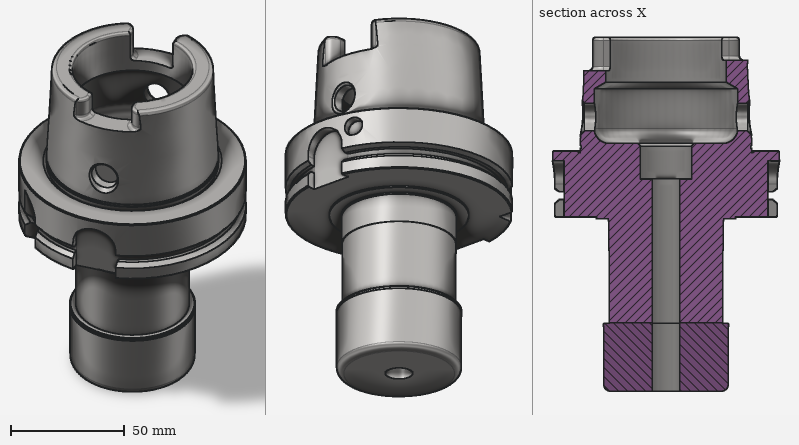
import cadquery as cq
import math


TOTAL_HEIGHT = 156.0
NUT_HEIGHT = 30.1
SHANK_STEP_Z = 62.1
FLANGE_BOTTOM_Z = 76.8
FLANGE_TOP_Z = 106.0
TAPER_BOTTOM_Z = 108.4

NUT_DIAMETER = 55.0
NUT_COLLAR_DIAMETER = 55.4
NUT_COLLAR_HEIGHT = 1.4
NUT_COLLAR_CHAMFER = 0.5
NUT_END_FILLET = 3.1
THROUGH_HOLE_DIAMETER = 12.0

SHANK_DIAMETER = 50.0
UPPER_SHANK_DIAMETER = 50.5
SHANK_COLLAR_DIAMETER = 51.0
SHANK_COLLAR_HEIGHT = 0.8
BOSS_DIAMETER = 61.5
BOSS_HEIGHT = 0.8

FLANGE_DIAMETER = 100.0
FLANGE_CHAMFER = 0.5
GROOVE_FLOOR_DIAMETER = 92.0
GROOVE_FLOOR_BOTTOM_Z = 84.5
GROOVE_FLOOR_TOP_Z = 87.8
GROOVE_BOTTOM_Z = 82.7
GROOVE_TOP_Z = 89.2
GROOVE_SHOULDER_DIAMETER = 96.0

TAPER_BOTTOM_DIAMETER = 75.8
TAPER_RATIO = 0.1
UNDERCUT_DEPTH = 0.5
UNDERCUT_HEIGHT = 1.0
FACE_RELIEF_DIAMETER = 78.6
FACE_RELIEF_DEPTH = 1.0
RIM_OUTER_FILLET = 2.0
RIM_INNER_FILLET = 1.4

MOUTH_DIAMETER = 53.0
MOUTH_BOTTOM_Z = 136.0
CAVITY_DIAMETER = 63.0
SHOULDER_ANGLE = 30.0
CAVITY_FLOOR_DIAMETER = 50.0
CAVITY_FILLET_TOP_Z = 115.8
COUNTERBORE_DIAMETER = 22.3
COUNTERBORE_MOUTH_DIAMETER = 25.0
COUNTERBORE_BOTTOM_Z = 93.6

RIM_SLOT_WIDTH = 20.0
RIM_SLOT_SHOULDER_Y = 32.3
RIM_SLOT_CORNER_RADIUS = 4.7
RIM_SLOT_FLOOR_FILLET = 1.9
FRONT_RIM_SLOT_Z = 145.9
BACK_RIM_SLOT_Z = 141.2

ACCESS_HOLE_DIAMETER = 12.0
ACCESS_HOLE_Z = 120.7
COUNTERSINK_DIAMETER = 14.8

FLANGE_SLOT_WIDTH = 20.0
FLANGE_SLOT_SPRING_Z = 91.4
KEY_SLOT_FLOOR_Y = 45.0
CORNER_SLOT_WALL = 31.4

CHIP_HOLE_DIAMETER = 8.5
CHIP_HOLE_DEPTH = 4.5
CHIP_HOLE_Z = 98.7
CHIP_HOLE_ANGLE = 108.0

FLANGE_RADIUS = FLANGE_DIAMETER / 2
TAPER_HEIGHT = TOTAL_HEIGHT - TAPER_BOTTOM_Z
RIM_DIAMETER = TAPER_BOTTOM_DIAMETER - TAPER_RATIO * TAPER_HEIGHT


def revolve(profile):
    """Turn a closed outline of (radius, z) points about the Z axis."""
    return cq.Workplane("XZ").polyline(profile).close().revolve(360, (0, 0, 0), (0, 1, 0))


def holder_blank():
    """Shank, grooved flange and taper as one turned solid."""
    shank_radius = SHANK_DIAMETER / 2
    upper_shank_radius = UPPER_SHANK_DIAMETER / 2
    shank_collar_radius = SHANK_COLLAR_DIAMETER / 2
    boss_radius = BOSS_DIAMETER / 2
    boss_bottom_z = FLANGE_BOTTOM_Z - BOSS_HEIGHT
    shank_collar_z = boss_bottom_z - SHANK_COLLAR_HEIGHT
    chamfer_radius = FLANGE_RADIUS - FLANGE_CHAMFER
    groove_radius = GROOVE_FLOOR_DIAMETER / 2
    shoulder_radius = GROOVE_SHOULDER_DIAMETER / 2
    taper_radius = TAPER_BOTTOM_DIAMETER / 2
    undercut_radius = taper_radius - UNDERCUT_DEPTH
    undercut_z = TAPER_BOTTOM_Z - UNDERCUT_DEPTH
    return revolve([
        (0, NUT_HEIGHT),
        (shank_radius, NUT_HEIGHT),
        (shank_radius, SHANK_STEP_Z),
        (upper_shank_radius, SHANK_STEP_Z),
        (upper_shank_radius, shank_collar_z),
        (shank_collar_radius, shank_collar_z),
        (shank_collar_radius, boss_bottom_z),
        (boss_radius, boss_bottom_z),
        (boss_radius, FLANGE_BOTTOM_Z),
        (chamfer_radius, FLANGE_BOTTOM_Z),
        (FLANGE_RADIUS, FLANGE_BOTTOM_Z + FLANGE_CHAMFER),
        (FLANGE_RADIUS, GROOVE_BOTTOM_Z),
        (shoulder_radius, GROOVE_FLOOR_BOTTOM_Z),
        (groove_radius, GROOVE_FLOOR_BOTTOM_Z),
        (groove_radius, GROOVE_FLOOR_TOP_Z),
        (shoulder_radius, GROOVE_FLOOR_TOP_Z),
        (FLANGE_RADIUS, GROOVE_TOP_Z),
        (FLANGE_RADIUS, FLANGE_TOP_Z - FLANGE_CHAMFER),
        (chamfer_radius, FLANGE_TOP_Z),
        (FACE_RELIEF_DIAMETER / 2, FLANGE_TOP_Z),
        (taper_radius, FLANGE_TOP_Z - FACE_RELIEF_DEPTH),
        (taper_radius, undercut_z - UNDERCUT_HEIGHT),
        (undercut_radius, undercut_z - UNDERCUT_HEIGHT),
        (undercut_radius, undercut_z),
        (taper_radius, TAPER_BOTTOM_Z),
        (RIM_DIAMETER / 2, TOTAL_HEIGHT),
        (0, TOTAL_HEIGHT),
    ])


def stepped_bore():
    """Undercut cavity in the taper, the counterbore in its floor and the hole through the shank."""
    mouth_radius = MOUTH_DIAMETER / 2
    cavity_radius = CAVITY_DIAMETER / 2
    shoulder_drop = (cavity_radius - mouth_radius) * math.tan(math.radians(SHOULDER_ANGLE))
    fillet_radius = (CAVITY_DIAMETER - CAVITY_FLOOR_DIAMETER) / 2
    floor_z = CAVITY_FILLET_TOP_Z - fillet_radius
    fillet_reach = fillet_radius * (1 - math.sin(math.pi / 4))
    counterbore_radius = COUNTERBORE_DIAMETER / 2
    counterbore_mouth_radius = COUNTERBORE_MOUTH_DIAMETER / 2
    bevel = counterbore_mouth_radius - counterbore_radius
    hole_radius = THROUGH_HOLE_DIAMETER / 2
    return (
        cq.Workplane("XZ")
        .moveTo(0, NUT_HEIGHT)
        .lineTo(hole_radius, NUT_HEIGHT)
        .lineTo(hole_radius, COUNTERBORE_BOTTOM_Z)
        .lineTo(counterbore_radius, COUNTERBORE_BOTTOM_Z)
        .lineTo(counterbore_radius, floor_z - bevel)
        .lineTo(counterbore_mouth_radius, floor_z)
        .lineTo(CAVITY_FLOOR_DIAMETER / 2, floor_z)
        .threePointArc(
            (cavity_radius - fillet_reach, floor_z + fillet_reach),
            (cavity_radius, CAVITY_FILLET_TOP_Z),
        )
        .lineTo(cavity_radius, MOUTH_BOTTOM_Z - shoulder_drop)
        .lineTo(mouth_radius, MOUTH_BOTTOM_Z)
        .lineTo(mouth_radius, TOTAL_HEIGHT)
        .lineTo(0, TOTAL_HEIGHT)
        .close()
        .revolve(360, (0, 0, 0), (0, 1, 0))
    )


def rim_slot(floor_z):
    """Cutter for the +Y driving slot: it widens to a shoulder past rounded wall corners."""
    half_width = RIM_SLOT_WIDTH / 2
    radius = RIM_SLOT_CORNER_RADIUS
    shoulder_y = RIM_SLOT_SHOULDER_Y
    straight_end_y = shoulder_y - radius
    inner_y = straight_end_y / 2
    outer_y = FLANGE_RADIUS
    mid_x = half_width + radius * (1 - math.cos(math.pi / 4))
    mid_y = straight_end_y + radius * math.sin(math.pi / 4)
    cutter = (
        cq.Workplane("XY", origin=(0, 0, floor_z))
        .moveTo(half_width, inner_y)
        .lineTo(half_width, straight_end_y)
        .threePointArc((mid_x, mid_y), (half_width + radius, shoulder_y))
        .lineTo(outer_y, shoulder_y)
        .lineTo(outer_y, outer_y)
        .lineTo(-outer_y, outer_y)
        .lineTo(-outer_y, shoulder_y)
        .lineTo(-half_width - radius, shoulder_y)
        .threePointArc((-mid_x, mid_y), (-half_width, straight_end_y))
        .lineTo(-half_width, inner_y)
        .close()
        .extrude(TOTAL_HEIGHT - floor_z)
    )
    wall_feet = cutter.faces("<Z").edges(
        cq.selectors.BoxSelector(
            (-outer_y + 1.5, inner_y + 1.5, floor_z - 1.5), (outer_y - 1.5, shoulder_y + 1.5, floor_z + 1.5)
        )
    )
    return wall_feet.fillet(RIM_SLOT_FLOOR_FILLET)


def access_hole():
    """Cutter along Y through both walls of the taper, countersunk at 45 degrees on the outside."""
    hole_radius = ACCESS_HOLE_DIAMETER / 2
    sink_radius = COUNTERSINK_DIAMETER / 2
    surface_y = (TAPER_BOTTOM_DIAMETER - TAPER_RATIO * (ACCESS_HOLE_Z - TAPER_BOTTOM_Z)) / 2
    sink_start_y = surface_y - (sink_radius - hole_radius)
    outer_y = TAPER_BOTTOM_DIAMETER / 2
    outer_radius = hole_radius + outer_y - sink_start_y
    profile = [
        (0, -outer_y),
        (outer_radius, -outer_y),
        (hole_radius, -sink_start_y),
        (hole_radius, sink_start_y),
        (outer_radius, outer_y),
        (0, outer_y),
    ]
    return (
        cq.Workplane("XY")
        .polyline(profile)
        .close()
        .revolve(360, (0, 0, 0), (0, 1, 0))
        .translate((0, 0, ACCESS_HOLE_Z))
    )


def round_topped_slot(center_x, floor_y):
    """Cutter open towards -Y and downwards, with a half-round top and a flat floor at floor_y."""
    half_width = FLANGE_SLOT_WIDTH / 2
    return (
        cq.Workplane("XZ", origin=(0, floor_y, 0))
        .moveTo(center_x - half_width, FLANGE_BOTTOM_Z)
        .lineTo(center_x - half_width, FLANGE_SLOT_SPRING_Z)
        .threePointArc(
            (center_x, FLANGE_SLOT_SPRING_Z + half_width),
            (center_x + half_width, FLANGE_SLOT_SPRING_Z),
        )
        .lineTo(center_x + half_width, FLANGE_BOTTOM_Z)
        .close()
        .extrude(FLANGE_RADIUS + floor_y)
    )


def chip_hole():
    """Cutter for the radial blind hole in the flange's side."""
    angle = math.radians(CHIP_HOLE_ANGLE)
    outward = cq.Vector(math.cos(angle), math.sin(angle), 0)
    start = outward * (FLANGE_RADIUS - CHIP_HOLE_DEPTH) + cq.Vector(0, 0, CHIP_HOLE_Z)
    return cq.Workplane(cq.Solid.makeCylinder(CHIP_HOLE_DIAMETER / 2, 2 * CHIP_HOLE_DEPTH, start, outward))


def half_turn(shape):
    """The same shape turned to the opposite side of the Z axis."""
    return shape.rotate((0, 0, 0), (0, 0, 1), 180)


def round_inner_rim(holder):
    """Round the top edges of the bore's mouth and the slot walls, leaving the outer rim sharp."""
    rim_edges = holder.faces(">Z").edges()
    inner_edges = [
        edge for edge in rim_edges.vals()
        if edge.geomType() == "LINE" or edge.radius() <= MOUTH_DIAMETER / 2 + RIM_INNER_FILLET
    ]
    return rim_edges.newObject(inner_edges).fillet(RIM_INNER_FILLET)


def make_holder():
    """Turned holder with its bore, rim slots, access hole, flange slots and chip hole."""
    blank = holder_blank()
    holder = blank.cut(stepped_bore())
    holder = holder.cut(rim_slot(BACK_RIM_SLOT_Z))
    holder = holder.cut(half_turn(rim_slot(FRONT_RIM_SLOT_Z)))
    holder = round_inner_rim(holder)
    holder = holder.intersect(blank.faces(">Z").edges().fillet(RIM_OUTER_FILLET))
    holder = holder.cut(access_hole())
    key_slot = round_topped_slot(0, -KEY_SLOT_FLOOR_Y)
    corner_slot = round_topped_slot(-CORNER_SLOT_WALL - FLANGE_SLOT_WIDTH / 2, -CORNER_SLOT_WALL)
    for cutter in (key_slot, half_turn(key_slot), corner_slot, chip_hole()):
        holder = holder.cut(cutter)
    return holder


def make_nut():
    """Nut below the shank, with a slightly wider collar round its upper end."""
    collar_bottom_z = NUT_HEIGHT - NUT_COLLAR_HEIGHT
    collar = (
        cq.Workplane("XY", origin=(0, 0, collar_bottom_z))
        .circle(NUT_COLLAR_DIAMETER / 2)
        .extrude(NUT_COLLAR_HEIGHT)
        .faces(">Z")
        .edges()
        .chamfer(NUT_COLLAR_CHAMFER)
    )
    return (
        cq.Workplane("XY")
        .circle(NUT_DIAMETER / 2)
        .extrude(collar_bottom_z)
        .faces("<Z")
        .edges()
        .fillet(NUT_END_FILLET)
        .union(collar)
        .faces(">Z")
        .workplane()
        .hole(THROUGH_HOLE_DIAMETER)
    )


holder = make_holder()
nut = make_nut()

result = cq.Compound.makeCompound([holder.solids().val(), nut.solids().val()])